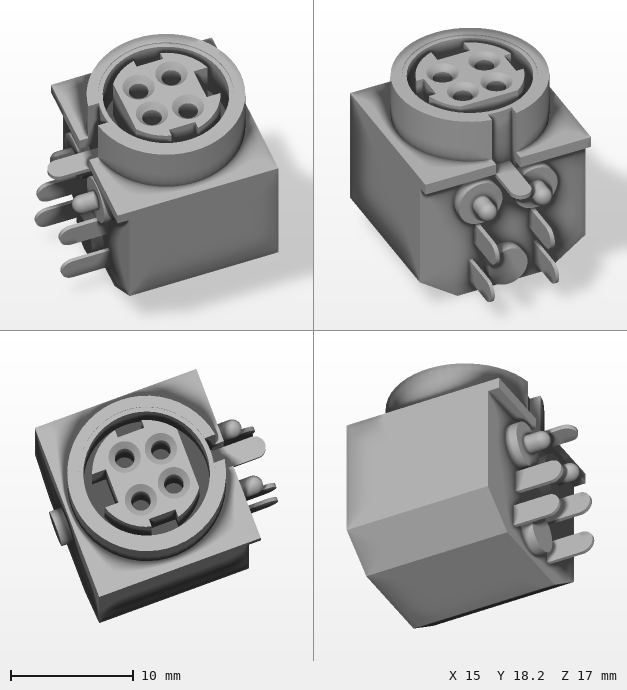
import cadquery as cq


body_width = 15.0
body_back = 6.92
body_front = -6.08
flange_front = -7.12
flange_bottom = 12.01
body_top = 13.0
taper_height = 2.45
bottom_width = 8.19

collar_top = 17.0
collar_radius = 6.46
sleeve_radius = 5.53
sleeve_bore_radius = 5.15
sleeve_recess = 0.07
insert_radius = 4.44
insert_flat = -3.6
top_key_width = 2.95
top_key_floor = 2.98
side_key_width = 2.31
side_key_floor = 3.62

hole_radius = 0.8
countersink_radius = 1.31
countersink_angle = 90
hole_depth = collar_top - body_top
hole_centers = [(-1.9, 1.2), (1.9, 1.2), (-1.51, -1.8), (1.51, -1.8)]

slot_width = 2.18
tab_width = 1.8
tab_thickness = 0.4
tab_bottom = 11.28

terminal_tip = -10.28
peg_x = 2.5
peg_z = 9.5
peg_base_radius = 1.97
peg_radius = 0.76
peg_tip = -9.12
foot_z = 2.33
foot_radius = 1.75
knob_z = 8.0
knob_radius = 1.5
overall_depth = 18.2
knob_back = terminal_tip + overall_depth

blade_height = 2.0
upper_blade_x = 2.5
upper_blade_z = 6.0
upper_blade_thickness = 0.36
lower_blade_x = 2.91
lower_blade_z = 2.35
lower_blade_thickness = 0.31


def box_between(x_range, y_range, z_range):
    """Box given by its lower and upper limit along each axis."""
    limits = (x_range, y_range, z_range)
    sizes = [high - low for low, high in limits]
    corner = tuple(low for low, high in limits)
    return cq.Workplane("XY").box(*sizes, centered=False).translate(corner)


def centered_range(width, center=0.0):
    return (center - width / 2, center + width / 2)


def disc(radius, bottom, top):
    """Cylinder on the socket axis."""
    return cq.Workplane("XY").workplane(offset=bottom).circle(radius).extrude(top - bottom)


def rod(x, z, radius, y_front, y_back):
    """Cylinder parallel to the Y axis."""
    plane = cq.Workplane("XZ", origin=(x, y_back, z))
    return plane.circle(radius).extrude(y_back - y_front)


def make_housing():
    half_width = body_width / 2
    half_bottom = bottom_width / 2
    body = (
        cq.Workplane("XZ", origin=(0, body_back, 0))
        .moveTo(-half_bottom, 0)
        .lineTo(half_bottom, 0)
        .lineTo(half_width, taper_height)
        .lineTo(half_width, body_top)
        .lineTo(-half_width, body_top)
        .lineTo(-half_width, taper_height)
        .close()
        .extrude(body_back - body_front)
    )
    flange = box_between(
        centered_range(body_width), (flange_front, body_back), (flange_bottom, body_top)
    )
    collar = disc(collar_radius, body_top, collar_top)
    return body.union(flange).union(collar)


def cut_socket(housing):
    """Open the bore, lower the sleeve rim and cut the slot that bares the sleeve."""
    slot = box_between(
        centered_range(slot_width), (flange_front, 0), (tab_bottom, collar_top)
    ).cut(disc(sleeve_radius, tab_bottom, collar_top))
    bore = disc(sleeve_bore_radius, body_top, collar_top)
    rim_step = disc(sleeve_radius, collar_top - sleeve_recess, collar_top)
    return housing.cut(slot).cut(bore).cut(rim_step)


def make_insert():
    height = (body_top, collar_top)
    insert = disc(insert_radius, *height)
    across = centered_range(2 * insert_radius)
    insert = insert.cut(box_between(across, (-insert_radius, insert_flat), height))
    insert = insert.cut(
        box_between(centered_range(top_key_width), (top_key_floor, insert_radius), height)
    )
    for x_range in [(-insert_radius, -side_key_floor), (side_key_floor, insert_radius)]:
        insert = insert.cut(box_between(x_range, centered_range(side_key_width), height))
    return (
        insert.faces(">Z")
        .workplane(origin=(0, 0, collar_top))
        .pushPoints(hole_centers)
        .cskHole(2 * hole_radius, 2 * countersink_radius, countersink_angle, depth=hole_depth)
    )


def make_tab():
    """Flat shield terminal with a fully rounded end."""
    radius = tab_width / 2
    shoulder = terminal_tip + radius
    return (
        cq.Workplane("XY", origin=(0, 0, tab_bottom))
        .moveTo(-radius, -sleeve_bore_radius)
        .lineTo(-radius, shoulder)
        .threePointArc((0, terminal_tip), (radius, shoulder))
        .lineTo(radius, -sleeve_bore_radius)
        .close()
        .extrude(tab_thickness)
    )


def make_blade(x, z, thickness):
    """Upright contact blade with a fully rounded end."""
    radius = blade_height / 2
    shoulder = terminal_tip + radius
    return (
        cq.Workplane("YZ", origin=(x - thickness / 2, 0, z))
        .moveTo(body_front, radius)
        .lineTo(shoulder, radius)
        .threePointArc((terminal_tip, 0), (shoulder, -radius))
        .lineTo(body_front, -radius)
        .close()
        .extrude(thickness)
    )


def make_peg(x):
    """Locating peg with a domed tip on a round base."""
    dome_center = peg_tip + peg_radius
    base = rod(x, peg_z, peg_base_radius, flange_front, body_front)
    shaft = rod(x, peg_z, peg_radius, dome_center, body_front)
    dome = cq.Workplane("XY", origin=(x, dome_center, peg_z)).sphere(peg_radius)
    return base.union(shaft).union(dome)


result = cut_socket(make_housing()).union(make_insert()).union(make_tab())

for side in (-1, 1):
    result = result.union(make_peg(side * peg_x))
    result = result.union(make_blade(side * upper_blade_x, upper_blade_z, upper_blade_thickness))
    result = result.union(make_blade(side * lower_blade_x, lower_blade_z, lower_blade_thickness))

foot = rod(0, foot_z, foot_radius, flange_front, body_front)
knob = rod(0, knob_z, knob_radius, body_back, knob_back)
result = result.union(foot).union(knob)